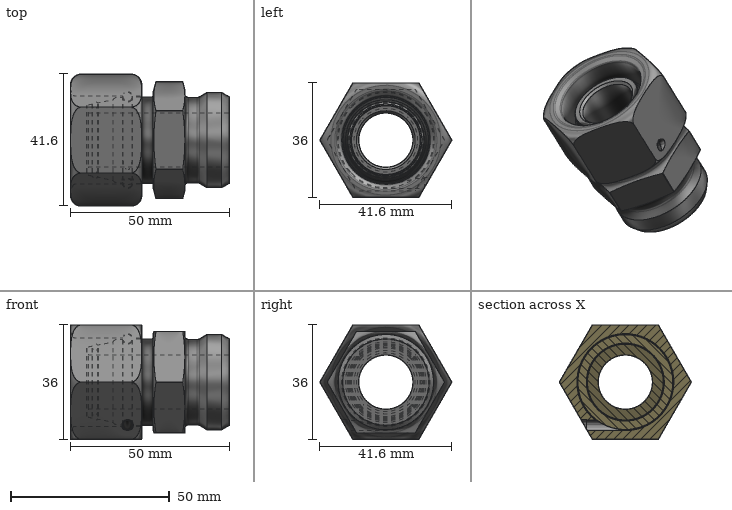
import cadquery as cq
import math

TOTAL_LENGTH = 50.0
BORE_RADIUS = 17.0 / 2

NUT_FLATS = 36.0
NUT_LENGTH = 22.5
NUT_CORNER_ROUND = 3.5
NUT_BORE_RADIUS = 27.8 / 2
MOUTH_RADIUS = 16.05
MOUTH_CONE_ANGLE = 60.0
MOUTH_OUTER_ROUND = 1.0
MOUTH_INNER_ROUND = 0.5

WIRE_X = 18.0
WIRE_RING_RADIUS = 13.6
WIRE_RADIUS = 1.4
WIRE_GROOVE_RADIUS = 3.2 / 2
ENTRY_RECESS_RADIUS = 1.8
ENTRY_RECESS_FLOOR_Y = -12.2

O_RING_RADIUS = 11.0
O_RING_CORD_RADIUS = 1.0
O_RING_SETBACK = 2.85

NOSE_X = 5.0
NOSE_RADIUS = 10.95
NOSE_CHAMFER = 0.15
NOSE_BORE_CHAMFER = 0.75
SEAL_CONE_ANGLE = 12.0
SEAL_CONE_END_RADIUS = 12.7
SHOULDER_ANGLE = 45.0
FRONT_SHANK_RADIUS = 26.9 / 2
SHOULDER_CONE_END_RADIUS = FRONT_SHANK_RADIUS - 0.4
REAR_SHANK_RADIUS = 27.25 / 2
SHANK_FILLET = 0.2

HEX_FLATS = 32.0
HEX_CORNER_RADIUS = 36.85 / 2
HEX_START_X = 26.0
HEX_END_X = 36.0
HEX_CHAMFER_ANGLE = 15.0
HEX_FRONT_FACE_RADIUS = 15.0

RELIEF_RADIUS = 26.9 / 2
RELIEF_FILLET = 1.15
RELIEF_BLEND = 1.5
THREAD_RADIUS = 30.0 / 2
THREAD_START_X = 43.0
THREAD_LEAD_ANGLE = 30.0
END_FACE_RADIUS = 13.6


def sin_deg(angle):
    return math.sin(math.radians(angle))


def cos_deg(angle):
    return math.cos(math.radians(angle))


def tan_deg(angle):
    return math.tan(math.radians(angle))


def turned(profile):
    """Solid of revolution about X from an open profile that starts and ends on the axis."""
    return profile.close().revolve(360, (0, 0, 0), (1, 0, 0))


def hex_prism(flats, start_x, end_x):
    """Hexagonal bar along X with flats at the top and bottom."""
    return (
        cq.Workplane("YZ", origin=(start_x, 0, 0))
        .polygon(6, flats / cos_deg(30))
        .extrude(end_x - start_x)
    )


def ring(x, ring_radius, cord_radius):
    """Round cord bent into a full ring about the X axis."""
    return (
        cq.Workplane("XY")
        .center(x, ring_radius)
        .circle(cord_radius)
        .revolve(360, (-0.5, -ring_radius, 0), (0.5, -ring_radius, 0))
    )


def wire_groove():
    return ring(WIRE_X, WIRE_RING_RADIUS, WIRE_GROOVE_RADIUS)


def make_o_ring():
    return ring(NOSE_X + O_RING_SETBACK, O_RING_RADIUS, O_RING_CORD_RADIUS)


def make_wire():
    return ring(WIRE_X, WIRE_RING_RADIUS, WIRE_RADIUS)


def nut_corner_envelope():
    """Cylinder through the nut's corners with both ends rounded."""
    corner_radius = NUT_FLATS / 2 / cos_deg(30)
    face_radius = corner_radius - NUT_CORNER_ROUND
    return turned(
        cq.Workplane("XY")
        .lineTo(0, face_radius)
        .radiusArc((NUT_CORNER_ROUND, corner_radius), NUT_CORNER_ROUND)
        .lineTo(NUT_LENGTH - NUT_CORNER_ROUND, corner_radius)
        .radiusArc((NUT_LENGTH, face_radius), NUT_CORNER_ROUND)
        .lineTo(NUT_LENGTH, 0)
    )


def nut_bore():
    """Through bore with a conical mouth, blended into the face and into the bore."""
    face_turn = 90 - MOUTH_CONE_ANGLE
    cone_start_x = MOUTH_OUTER_ROUND * (1 - cos_deg(face_turn))
    cone_start_radius = MOUTH_RADIUS - MOUTH_OUTER_ROUND * sin_deg(face_turn)
    cone_end_radius = NUT_BORE_RADIUS + MOUTH_INNER_ROUND * (1 - cos_deg(MOUTH_CONE_ANGLE))
    cone_end_x = cone_start_x + (cone_start_radius - cone_end_radius) / tan_deg(MOUTH_CONE_ANGLE)
    bore_start_x = cone_end_x + MOUTH_INNER_ROUND * sin_deg(MOUTH_CONE_ANGLE)
    return turned(
        cq.Workplane("XY")
        .lineTo(0, MOUTH_RADIUS)
        .radiusArc((cone_start_x, cone_start_radius), -MOUTH_OUTER_ROUND)
        .lineTo(cone_end_x, cone_end_radius)
        .radiusArc((bore_start_x, NUT_BORE_RADIUS), -MOUTH_INNER_ROUND)
        .lineTo(NUT_LENGTH, NUT_BORE_RADIUS)
        .lineTo(NUT_LENGTH, 0)
    )


def entry_cut(radius, floor_y):
    """Cylinder from floor_y out through the -Y side, tangent to the wire ring at its lowest point."""
    return (
        cq.Workplane("XZ", origin=(WIRE_X, floor_y, -WIRE_RING_RADIUS))
        .circle(radius)
        .extrude(NUT_FLATS)
    )


def make_nut():
    blank = hex_prism(NUT_FLATS, 0, NUT_LENGTH).intersect(nut_corner_envelope())
    return (
        blank.cut(nut_bore())
        .cut(wire_groove())
        .cut(entry_cut(WIRE_GROOVE_RADIUS, 0))
        .cut(entry_cut(ENTRY_RECESS_RADIUS, ENTRY_RECESS_FLOOR_Y))
    )


def body_front():
    """Turned nose, sealing cone, rounded shoulder and stepped shank, up to the hexagon."""
    seal_start_x = NOSE_X + NOSE_CHAMFER
    seal_end_x = seal_start_x + (SEAL_CONE_END_RADIUS - NOSE_RADIUS) / tan_deg(SEAL_CONE_ANGLE)
    shoulder_rise = SHOULDER_CONE_END_RADIUS - SEAL_CONE_END_RADIUS
    shoulder_end_x = seal_end_x + shoulder_rise / tan_deg(SHOULDER_ANGLE)
    shoulder_round = (FRONT_SHANK_RADIUS - SHOULDER_CONE_END_RADIUS) / (1 - cos_deg(SHOULDER_ANGLE))
    shank_start_x = shoulder_end_x + shoulder_round * sin_deg(SHOULDER_ANGLE)
    return turned(
        cq.Workplane("XY")
        .moveTo(NOSE_X, 0)
        .lineTo(NOSE_X, NOSE_RADIUS - NOSE_CHAMFER)
        .lineTo(seal_start_x, NOSE_RADIUS)
        .lineTo(seal_end_x, SEAL_CONE_END_RADIUS)
        .lineTo(shoulder_end_x, SHOULDER_CONE_END_RADIUS)
        .radiusArc((shank_start_x, FRONT_SHANK_RADIUS), shoulder_round)
        .lineTo(WIRE_X, FRONT_SHANK_RADIUS)
        .lineTo(WIRE_X, REAR_SHANK_RADIUS)
        .lineTo(HEX_START_X - SHANK_FILLET, REAR_SHANK_RADIUS)
        .radiusArc((HEX_START_X, REAR_SHANK_RADIUS + SHANK_FILLET), -SHANK_FILLET)
        .lineTo(HEX_START_X, 0)
    )


def body_hexagon():
    """Hexagon with turned corners and a shallow conical chamfer at each end."""
    slope = tan_deg(HEX_CHAMFER_ANGLE)
    front_chamfer = (HEX_CORNER_RADIUS - HEX_FRONT_FACE_RADIUS) * slope
    rear_chamfer = (HEX_CORNER_RADIUS - HEX_FLATS / 2) * slope
    envelope = turned(
        cq.Workplane("XY")
        .moveTo(HEX_START_X, 0)
        .lineTo(HEX_START_X, HEX_FRONT_FACE_RADIUS)
        .lineTo(HEX_START_X + front_chamfer, HEX_CORNER_RADIUS)
        .lineTo(HEX_END_X - rear_chamfer, HEX_CORNER_RADIUS)
        .lineTo(HEX_END_X, HEX_FLATS / 2)
        .lineTo(HEX_END_X, 0)
    )
    return hex_prism(HEX_FLATS, HEX_START_X, HEX_END_X).intersect(envelope)


def body_threaded_end():
    """Turned relief groove and thread cylinder, with a lead cone at each end of the thread."""
    cone_foot_x = THREAD_START_X - (THREAD_RADIUS - RELIEF_RADIUS) / tan_deg(THREAD_LEAD_ANGLE)
    blend_reach = RELIEF_BLEND * tan_deg(THREAD_LEAD_ANGLE / 2)
    blend_end = (
        cone_foot_x + blend_reach * cos_deg(THREAD_LEAD_ANGLE),
        RELIEF_RADIUS + blend_reach * sin_deg(THREAD_LEAD_ANGLE),
    )
    end_lead = (THREAD_RADIUS - END_FACE_RADIUS) / tan_deg(THREAD_LEAD_ANGLE)
    return turned(
        cq.Workplane("XY")
        .moveTo(HEX_END_X, 0)
        .lineTo(HEX_END_X, RELIEF_RADIUS + RELIEF_FILLET)
        .radiusArc((HEX_END_X + RELIEF_FILLET, RELIEF_RADIUS), -RELIEF_FILLET)
        .lineTo(cone_foot_x - blend_reach, RELIEF_RADIUS)
        .radiusArc(blend_end, -RELIEF_BLEND)
        .lineTo(THREAD_START_X, THREAD_RADIUS)
        .lineTo(TOTAL_LENGTH - end_lead, THREAD_RADIUS)
        .lineTo(TOTAL_LENGTH, END_FACE_RADIUS)
        .lineTo(TOTAL_LENGTH, 0)
    )


def body_bore():
    """Through bore with a chamfer at the nose."""
    return turned(
        cq.Workplane("XY")
        .moveTo(NOSE_X, 0)
        .lineTo(NOSE_X, BORE_RADIUS + NOSE_BORE_CHAMFER)
        .lineTo(NOSE_X + NOSE_BORE_CHAMFER, BORE_RADIUS)
        .lineTo(TOTAL_LENGTH, BORE_RADIUS)
        .lineTo(TOTAL_LENGTH, 0)
    )


def make_union_body():
    blank = body_front().union(body_hexagon()).union(body_threaded_end())
    return blank.cut(body_bore()).cut(wire_groove()).cut(make_o_ring())


nut = make_nut()
union_body = make_union_body()
o_ring = make_o_ring()
wire = make_wire()

bodies = [nut, union_body, o_ring, wire]
result = cq.Compound.makeCompound([body.solids().val() for body in bodies])